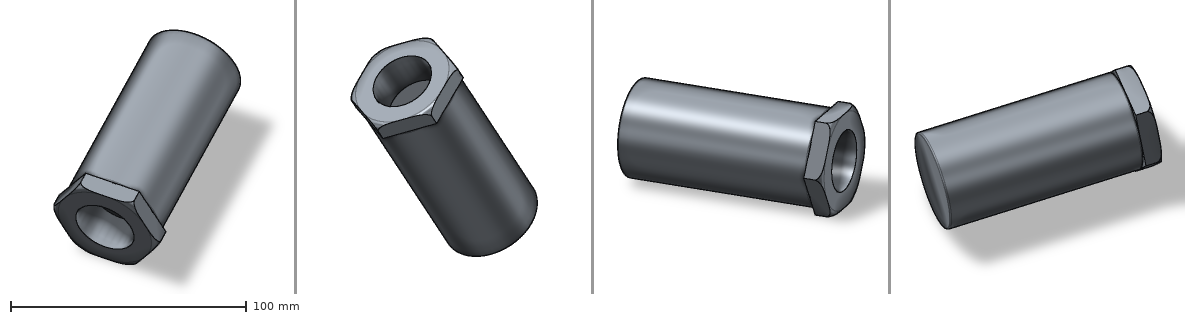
import cadquery as cq
import math

total_length = 95.76
barrel_diameter = 43.18
hex_across_corners = 49.57
hex_thickness = 8.1
barrel_end_fillet = 0.65

bore_mouth_diameter = 26.95
bore_floor_diameter = 26.7
bore_depth = 17.0

barrel_radius = barrel_diameter / 2
hex_corner_radius = hex_across_corners / 2
corner_round_radius = hex_corner_radius - barrel_radius


def revolve_about_y(profile):
    return profile.close().revolve(360, (0, 0, 0), (0, 1, 0))


def make_hex_head():
    """Hexagonal head whose corners are rounded over toward the open face."""
    hexagon = (
        cq.Workplane("XZ")
        .polygon(6, hex_across_corners)
        .extrude(-hex_thickness)
    )
    arc_offset = corner_round_radius * math.sqrt(0.5)
    rounded_envelope = revolve_about_y(
        cq.Workplane("XY")
        .lineTo(barrel_radius, 0)
        .threePointArc(
            (barrel_radius + arc_offset, corner_round_radius - arc_offset),
            (hex_corner_radius, corner_round_radius),
        )
        .lineTo(hex_corner_radius, hex_thickness)
        .lineTo(0, hex_thickness)
    )
    return hexagon.intersect(rounded_envelope)


def make_barrel():
    """Cylindrical barrel with a small fillet around each end."""
    return (
        cq.Workplane("XZ", origin=(0, hex_thickness, 0))
        .circle(barrel_radius)
        .extrude(hex_thickness - total_length)
        .edges("%CIRCLE")
        .fillet(barrel_end_fillet)
    )


def make_bore():
    """Blind, slightly tapered bore entering through the hex face."""
    return revolve_about_y(
        cq.Workplane("XY")
        .lineTo(bore_mouth_diameter / 2, 0)
        .lineTo(bore_floor_diameter / 2, bore_depth)
        .lineTo(0, bore_depth)
    )


result = make_hex_head().union(make_barrel()).cut(make_bore())